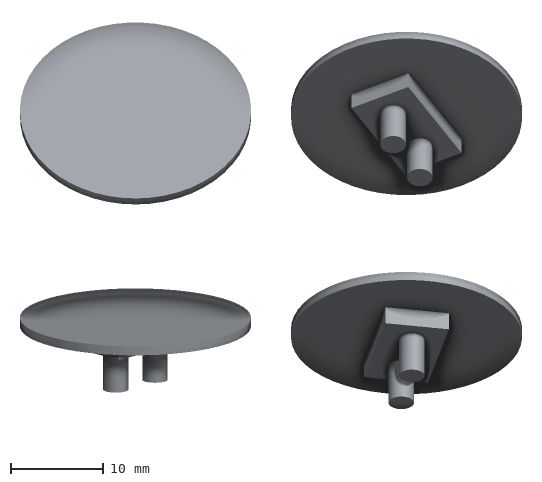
import cadquery as cq

disc_diameter = 25.0
disc_thickness = 1.0
block_length = 12.0
block_width = 7.0
block_height = 2.0
pin_diameter = 2.75
pin_length = 4.5
pin_spacing = block_length / 2

block_bottom = pin_length
disc_bottom = block_bottom + block_height

disc = cq.Workplane("XY").workplane(offset=disc_bottom).circle(disc_diameter / 2).extrude(disc_thickness)

block = cq.Workplane("XY").workplane(offset=block_bottom).rect(block_length, block_width).extrude(block_height)

pins = (
    cq.Workplane("XY")
    .rarray(pin_spacing, 0.25, 2, 1)
    .circle(pin_diameter / 2)
    .extrude(pin_length)
)

result = disc.union(block).union(pins)